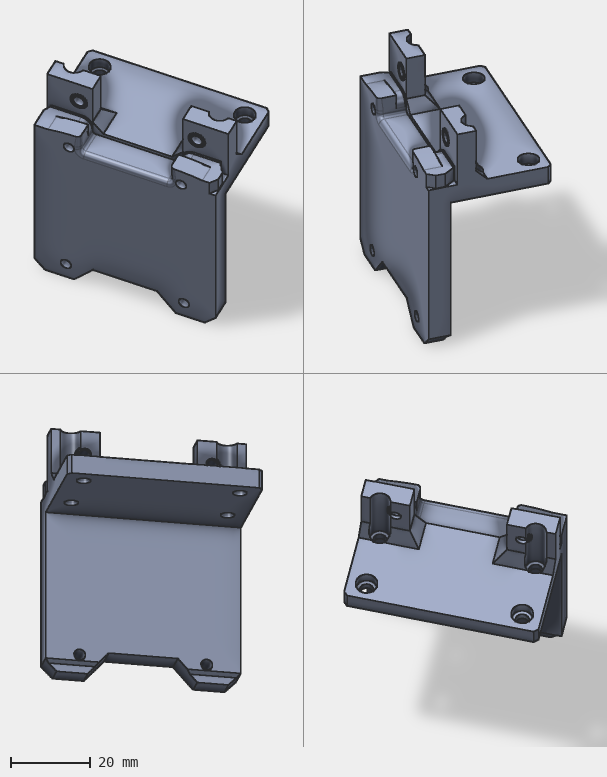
import cadquery as cq
import math


WIDTH = 50.0
DEPTH = 33.0
HEIGHT = 62.4
HALF_WIDTH = WIDTH / 2

PLATE_THICKNESS = 6.0
CORNER_CHAMFER = 3.0
FOOT_THICKNESS = 5.05
FOOT_BEVEL = PLATE_THICKNESS - FOOT_THICKNESS
NOTCH_HALF_BOTTOM = 14.05
NOTCH_HALF_TOP = 8.85
NOTCH_HEIGHT = 5.7
PLATE_HOLE_DIAMETER = 2.9
LOWER_HOLE_Z = 4.6
UPPER_HOLE_X = 15.5
UPPER_HOLE_Z = 47.2

SHELF_TOP = 47.4
SHELF_THICKNESS = 5.0
SHELF_BOTTOM = SHELF_TOP - SHELF_THICKNESS
SHELF_CHAMFER = 1.0
SCREW_DIAMETER = 3.5
COUNTERBORE_DIAMETER = 5.5
COUNTERBORE_DEPTH = 3.0
SCREW_X = 20.0
SCREW_ROWS = (13.5, 28.5)

POST_INNER_X = 12.5
POST_FRONT = 7.75
POST_DEPTH = 5.0
POST_BACK = POST_FRONT + POST_DEPTH
POST_FOOT_CHAMFER = 3.0

SADDLE_FLOOR = 46.4
SADDLE_CORNER_RADIUS = 1.0
SADDLE_FRONT_RADIUS = 1.5

SHOULDER_TOP = 51.3
SHOULDER_ROUND = 3.05
SHOULDER_WAIST = SHOULDER_TOP - SHOULDER_ROUND
PAD_DEPTH = 5.05
PAD_OUTER_X = 21.3
PAD_CREST_Z = 52.0
PAD_TOP_RADIUS = 1.05
SEAM_CHAMFER = 0.3
LEFT_SHOULDER_X = 23.9
LEFT_CLIP_Y = 5.7
RIGHT_SHOULDER_X = 22.7
RIGHT_EDGE_X = 24.8
RIGHT_CLIP_BACK_Y = 4.55
RIGHT_CLIP_FRONT_Y = 2.05
RIGHT_FRONT_X = 23.3

INSERT_X = 16.3
INSERT_Z = 56.25
INSERT_LENGTH = 4.0
INSERT_BORE = 3.0
INSERT_FACE_DIAMETER = 3.7
INSERT_ROOT_DIAMETER = 3.9
INSERT_TIP_DIAMETER = 4.7
KNURL_TEETH = 20

SIDES = (-1, 1)
TOLERANCE = 0.0005


def box(x0, x1, y0, y1, z0, z1):
    """Axis-aligned box between two opposite corners."""
    return cq.Workplane("XY").box(x1 - x0, y1 - y0, z1 - z0, centered=False).translate((x0, y0, z0))


def front_sketch(y):
    """Workplane at depth y whose local axes are X and Z; extrusion runs toward -Y."""
    return cq.Workplane("XZ", origin=(0, y, 0))


def on_side(left_body, side):
    """The body modelled on the -X side, or its mirror image for the +X side."""
    return left_body if side < 0 else left_body.mirror("YZ")


def face_plate():
    """Upright plate with clipped lower corners, a bottom notch and thinner feet."""
    foot_outer_x = HALF_WIDTH - CORNER_CHAMFER
    right_half = [
        (NOTCH_HALF_TOP, NOTCH_HEIGHT),
        (NOTCH_HALF_BOTTOM, 0),
        (foot_outer_x, 0),
        (HALF_WIDTH, CORNER_CHAMFER),
        (HALF_WIDTH, SHELF_BOTTOM),
    ]
    left_half = [(-x, z) for x, z in reversed(right_half)]
    plate = front_sketch(PLATE_THICKNESS).polyline(right_half + left_half).close().extrude(PLATE_THICKNESS)
    foot_relief = (
        cq.Workplane("YZ")
        .polyline([
            (PLATE_THICKNESS, CORNER_CHAMFER),
            (FOOT_THICKNESS, CORNER_CHAMFER - FOOT_BEVEL),
            (FOOT_THICKNESS, 0),
            (PLATE_THICKNESS, 0),
        ])
        .close()
        .extrude(HALF_WIDTH, both=True)
    )
    return plate.cut(foot_relief)


def saddle():
    """Block joining plate and shelf, its top hollowed with a rounded front lip."""
    block = box(-HALF_WIDTH, HALF_WIDTH, 0, POST_FRONT, SHELF_BOTTOM, SHOULDER_WAIST)
    hollow = box(-POST_INNER_X, POST_INNER_X, 0, POST_FRONT, SADDLE_FLOOR, HEIGHT)
    hollow = hollow.edges("|Y and <Z").fillet(SADDLE_CORNER_RADIUS)
    lip = cq.selectors.BoxSelector(
        (-POST_INNER_X - TOLERANCE, -TOLERANCE, SADDLE_FLOOR - TOLERANCE),
        (POST_INNER_X + TOLERANCE, TOLERANCE, SHOULDER_WAIST - TOLERANCE),
    )
    return block.cut(hollow).edges(lip).fillet(SADDLE_FRONT_RADIUS)


def shelf():
    """Horizontal plate behind the saddle with clipped rear corners."""
    plate = box(-HALF_WIDTH, HALF_WIDTH, POST_FRONT, DEPTH, SHELF_BOTTOM, SHELF_TOP)
    return plate.edges("|Z and >Y").chamfer(SHELF_CHAMFER)


def post():
    """Left post with a mitred chamfer where it stands on the shelf."""
    upright = box(-HALF_WIDTH, -POST_INNER_X, POST_FRONT, POST_BACK, SHELF_TOP, HEIGHT)
    foot_inner_x = -POST_INNER_X + POST_FOOT_CHAMFER
    foot_back = POST_BACK + POST_FOOT_CHAMFER
    foot = box(-HALF_WIDTH, foot_inner_x, POST_FRONT, foot_back, SHELF_TOP, SHELF_TOP + POST_FOOT_CHAMFER)
    foot = foot.faces(">Z").edges(">X or >Y").chamfer(POST_FOOT_CHAMFER - TOLERANCE)
    return upright.union(foot)


def edge_rounding_section(radius, z):
    """Wire between a square vertical edge and the arc that rounds it."""
    edge_x = -POST_INNER_X
    inset = radius * (1 - math.sqrt(0.5))
    start = cq.Vector(edge_x - radius, 0, z)
    middle = cq.Vector(edge_x - inset, inset, z)
    end = cq.Vector(edge_x, radius, z)
    corner = cq.Vector(edge_x, 0, z)
    return cq.Wire.assembleEdges([
        cq.Edge.makeThreePointArc(start, middle, end),
        cq.Edge.makeLine(end, corner),
        cq.Edge.makeLine(corner, start),
    ])


def shoulder():
    """Left shoulder above the waist: crowned pad in front, rounded block behind it."""
    crown_run = PAD_OUTER_X - POST_INNER_X
    crown_rise = PAD_CREST_Z - SHOULDER_TOP
    crown_radius = (crown_run**2 + crown_rise**2) / (2 * crown_rise)
    front = (
        front_sketch(PAD_DEPTH)
        .moveTo(-POST_INNER_X, SHOULDER_WAIST)
        .lineTo(-HALF_WIDTH, SHOULDER_WAIST)
        .lineTo(-HALF_WIDTH, SHOULDER_TOP)
        .lineTo(-PAD_OUTER_X, SHOULDER_TOP)
        .radiusArc((-POST_INNER_X, PAD_CREST_Z), crown_radius)
        .close()
        .extrude(PAD_DEPTH)
    )
    tapered_rounding = cq.Solid.makeLoft([
        edge_rounding_section(SADDLE_FRONT_RADIUS, SHOULDER_WAIST),
        edge_rounding_section(PAD_TOP_RADIUS, PAD_CREST_Z),
    ], True)
    front = front.cut(cq.Workplane(tapered_rounding))

    rear = box(-HALF_WIDTH, -POST_INNER_X, PAD_DEPTH, POST_FRONT, SHOULDER_WAIST, SHOULDER_TOP)
    rear = rear.edges("|Y and >X and >Z").fillet(SHOULDER_ROUND - TOLERANCE)
    return front.union(rear)


def seam(outer_x):
    """Narrow chamfer filling the corner between the left shoulder and its post."""
    strip = (
        front_sketch(POST_FRONT)
        .moveTo(-POST_INNER_X, SHELF_TOP)
        .lineTo(-outer_x, SHELF_TOP)
        .lineTo(-outer_x, SHOULDER_TOP)
        .lineTo(-POST_INNER_X - SHOULDER_ROUND, SHOULDER_TOP)
        .radiusArc((-POST_INNER_X, SHOULDER_WAIST), SHOULDER_ROUND)
        .close()
        .offset2D(SEAM_CHAMFER)
        .extrude(SEAM_CHAMFER, taper=45)
    )
    limits = box(-HALF_WIDTH, -POST_INNER_X, 0, POST_FRONT, SHELF_TOP, HEIGHT)
    return strip.intersect(limits)


def shoulder_clips():
    """Cutters that clip the outer corners of the shoulders down to the shelf level."""
    left_rear = [
        (-LEFT_SHOULDER_X, POST_FRONT),
        (-HALF_WIDTH, LEFT_CLIP_Y),
        (-HALF_WIDTH, POST_FRONT),
    ]
    right_side = [
        (RIGHT_SHOULDER_X, POST_FRONT),
        (RIGHT_EDGE_X, RIGHT_CLIP_BACK_Y),
        (RIGHT_EDGE_X, RIGHT_CLIP_FRONT_Y),
        (RIGHT_FRONT_X, 0),
        (HALF_WIDTH, 0),
        (HALF_WIDTH, POST_FRONT),
    ]
    plane = cq.Workplane("XY", origin=(0, 0, SHELF_TOP))
    clips = plane.polyline(left_rear).close().extrude(HEIGHT)
    return clips.union(plane.polyline(right_side).close().extrude(HEIGHT))


def screw_holes():
    """Cutters for the shelf screws; the counterbores also scallop the posts."""
    points = [(side * SCREW_X, y) for side in SIDES for y in SCREW_ROWS]
    through = cq.Workplane("XY").pushPoints(points).circle(SCREW_DIAMETER / 2).extrude(HEIGHT)
    bore_floor = SHELF_TOP - COUNTERBORE_DEPTH
    bores = (
        cq.Workplane("XY", origin=(0, 0, bore_floor))
        .pushPoints(points)
        .circle(COUNTERBORE_DIAMETER / 2)
        .extrude(HEIGHT)
    )
    return through.union(bores)


def plate_holes():
    """Cutters for the four front holes, all as deep as the face plate."""
    points = [(side * INSERT_X, LOWER_HOLE_Z) for side in SIDES]
    points += [(side * UPPER_HOLE_X, UPPER_HOLE_Z) for side in SIDES]
    return (
        front_sketch(PLATE_THICKNESS)
        .pushPoints(points)
        .circle(PLATE_HOLE_DIAMETER / 2)
        .extrude(PLATE_THICKNESS)
    )


def insert_holes():
    """Cutters for the posts: a pocket as long as the insert, then the bore runs on through."""
    points = [(side * INSERT_X, INSERT_Z) for side in SIDES]
    pockets = (
        front_sketch(POST_FRONT + INSERT_LENGTH)
        .pushPoints(points)
        .circle(INSERT_TIP_DIAMETER / 2)
        .extrude(INSERT_LENGTH)
    )
    bores = front_sketch(POST_BACK).pushPoints(points).circle(INSERT_BORE / 2).extrude(POST_DEPTH)
    return pockets.union(bores)


def make_bracket():
    body = face_plate().union(saddle()).union(shelf())
    for side in SIDES:
        body = body.union(on_side(post(), side)).union(on_side(shoulder(), side))
    body = body.cut(shoulder_clips())
    body = body.union(on_side(seam(LEFT_SHOULDER_X), -1)).union(on_side(seam(RIGHT_SHOULDER_X), 1))
    return body.cut(screw_holes()).cut(plate_holes()).cut(insert_holes())


def make_insert(side):
    """Knurled threaded insert, its front face flush with the front of a post."""
    root = INSERT_ROOT_DIAMETER / 2
    tip = INSERT_TIP_DIAMETER / 2
    face_bevel = (INSERT_ROOT_DIAMETER - INSERT_FACE_DIAMETER) / 2
    back = front_sketch(INSERT_LENGTH)

    core = back.circle(root).extrude(INSERT_LENGTH).faces("<Y").chamfer(face_bevel)
    tooth_angle = 2 * math.pi / KNURL_TEETH
    outline = []
    for tooth in range(KNURL_TEETH):
        for radius, angle in ((root, tooth * tooth_angle), (tip, (tooth + 0.5) * tooth_angle)):
            outline.append((radius * math.cos(angle), radius * math.sin(angle)))
    knurl = back.polyline(outline).close().extrude(INSERT_LENGTH - face_bevel)
    bore = back.circle(INSERT_BORE / 2).extrude(INSERT_LENGTH)
    return core.union(knurl).cut(bore).translate((side * INSERT_X, POST_FRONT, INSERT_Z))


bracket = make_bracket()
inserts = [make_insert(side) for side in SIDES]
result = cq.Compound.makeCompound([bracket.solids().val(), *[insert.solids().val() for insert in inserts]])